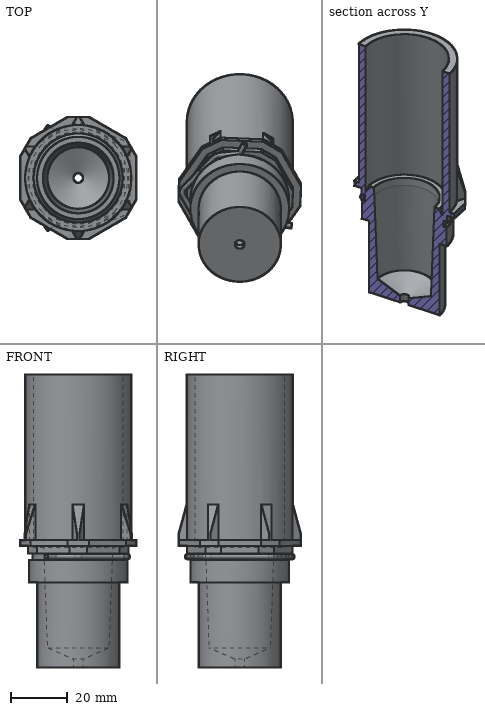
import cadquery as cq
import math

total_height = 103.3
spigot_diameter = 29.0
spigot_top = 30.0
collar_diameter = 34.8
collar_top = 38.0
groove_diameter = 32.4
groove_width = 2.2
seat_top = 42.85
flange_top = 44.9
sleeve_diameter = 37.4
sleeve_bore_diameter = 31.4

flange_flats_x = 41.0
flange_flats_y = 43.0
seat_flats_x = 35.4
seat_flats_y = 37.3

rib_count = 6
rib_top = 57.5
rib_tip_top = 47.2
rib_root_width = 4.2
rib_tip_width = 0.9

lip_top_z = flange_top
lip_chamfer_height = 2.5
lip_top_diameter = 29.0
mouth_diameter = 24.9
mouth_depth = 3.0
taper_top_diameter = 24.3
taper_bottom_diameter = 21.7
taper_bottom_z = 7.0
cone_depth = 4.0
drain_diameter = 3.3

wire_diameter = 1.9
clip_clearance = 0.05
clip_apex_y = 18.45
clip_elbow_x = -7.93
clip_leg_angle = 143.0
clip_leg_length = 4.2
clip_bend_radius = 2.4
clip_elbow_radius = 1.2

groove_top = collar_top + groove_width


def cylinder(diameter, bottom, top):
    """Upright cylinder on the part's axis."""
    return cq.Workplane("XY").workplane(offset=bottom).circle(diameter / 2).extrude(top - bottom)


def cut_corner_hexagon(flats_x, flats_y, bottom, top):
    """Hexagonal plate with flats facing X, its corners cut back to flats facing Y."""
    height = top - bottom
    corner_scale = 1 / math.cos(math.pi / 6)
    plane = cq.Workplane("XY").workplane(offset=bottom)
    hexagon = plane.polygon(6, flats_y * corner_scale).extrude(height)
    turned = plane.polygon(6, flats_x * corner_scale).extrude(height)
    turned = turned.rotate((0, 0, 0), (0, 0, 1), 30)
    return hexagon.intersect(turned)


def rib(angle):
    """Rib that narrows outwards and slopes down from the sleeve to the flange edge."""
    root_x = (sleeve_bore_diameter + sleeve_diameter) / 4
    half_root = rib_root_width / 2
    wall_x = math.sqrt((sleeve_diameter / 2) ** 2 - half_root ** 2)
    tip_x = flange_flats_y / 2
    half_tip = rib_tip_width / 2
    plan = (
        cq.Workplane("XY")
        .workplane(offset=flange_top)
        .polyline([
            (root_x, -half_root), (wall_x, -half_root), (tip_x, -half_tip),
            (tip_x, half_tip), (wall_x, half_root), (root_x, half_root),
        ])
        .close()
        .extrude(rib_top - flange_top)
    )
    profile = (
        cq.Workplane("XZ")
        .polyline([
            (root_x, flange_top), (tip_x, flange_top), (tip_x, rib_tip_top),
            (sleeve_diameter / 2, rib_top), (root_x, rib_top),
        ])
        .close()
        .extrude(half_root, both=True)
    )
    return plan.intersect(profile).rotate((0, 0, 0), (0, 0, 1), angle)


def interior():
    """Revolved cavity: sleeve bore, raised lip, tapered cup, funnel floor and drain."""
    bore = sleeve_bore_diameter / 2
    cone_tip_z = taper_bottom_z - cone_depth
    return (
        cq.Workplane("XZ")
        .polyline([
            (0, 0), (drain_diameter / 2, 0), (drain_diameter / 2, cone_tip_z),
            (taper_bottom_diameter / 2, taper_bottom_z),
            (taper_top_diameter / 2, lip_top_z - mouth_depth), (mouth_diameter / 2, lip_top_z),
            (lip_top_diameter / 2, lip_top_z), (bore, lip_top_z - lip_chamfer_height),
            (bore, total_height), (0, total_height),
        ])
        .close()
        .revolve(360, (0, 0), (0, 1))
    )


def make_housing():
    body = cylinder(spigot_diameter, 0, spigot_top)
    body = body.union(cylinder(collar_diameter, spigot_top, collar_top))
    body = body.union(cylinder(groove_diameter, collar_top, groove_top))
    body = body.union(cut_corner_hexagon(seat_flats_x, seat_flats_y, groove_top, seat_top))
    body = body.union(cut_corner_hexagon(flange_flats_x, flange_flats_y, seat_top, flange_top))
    body = body.union(cylinder(sleeve_diameter, flange_top, total_height))
    for index in range(rib_count):
        body = body.union(rib(90 + index * 360 / rib_count))
    return body.cut(interior())


def make_clip():
    """Bent wire clip that grips the groove on three sides and opens towards -X."""
    reach = groove_diameter / 2 + wire_diameter / 2 + clip_clearance
    arm_slope = math.tan(math.acos(reach / clip_apex_y))
    elbow_y = clip_apex_y + clip_elbow_x * arm_slope
    end_x = clip_elbow_x + clip_leg_length * math.cos(math.radians(clip_leg_angle))
    end_y = elbow_y + clip_leg_length * math.sin(math.radians(clip_leg_angle))
    corner_y = clip_apex_y - reach * arm_slope
    half = [(end_x, end_y), (clip_elbow_x, elbow_y), (0, clip_apex_y), (reach, corner_y)]
    points = half + [(x, -y) for x, y in reversed(half)]
    path_z = (collar_top + groove_top) / 2
    corners = [cq.Vector(x, y, path_z) for x, y in points]
    bends = [clip_elbow_radius] + [clip_bend_radius] * 4 + [clip_elbow_radius]

    edges = []
    start = corners[0]
    for before, corner, after, radius in zip(corners, corners[1:], corners[2:], bends):
        back = (before - corner).normalized()
        ahead = (after - corner).normalized()
        half_angle = back.getAngle(ahead) / 2
        tangent_length = radius / math.tan(half_angle)
        middle_distance = radius / math.sin(half_angle) - radius
        bend_start = corner + back * tangent_length
        bend_end = corner + ahead * tangent_length
        bend_middle = corner + (back + ahead).normalized() * middle_distance
        edges.append(cq.Edge.makeLine(start, bend_start))
        edges.append(cq.Edge.makeThreePointArc(bend_start, bend_middle, bend_end))
        start = bend_end
    edges.append(cq.Edge.makeLine(start, corners[-1]))
    path = cq.Workplane(cq.Wire.assembleEdges(edges))
    end_plane = cq.Plane(origin=corners[0], xDir=(0, 0, 1), normal=corners[1] - corners[0])
    return cq.Workplane(end_plane).circle(wire_diameter / 2).sweep(path)


housing = make_housing()
clip = make_clip()
result = cq.Compound.makeCompound([housing.val(), clip.val()])